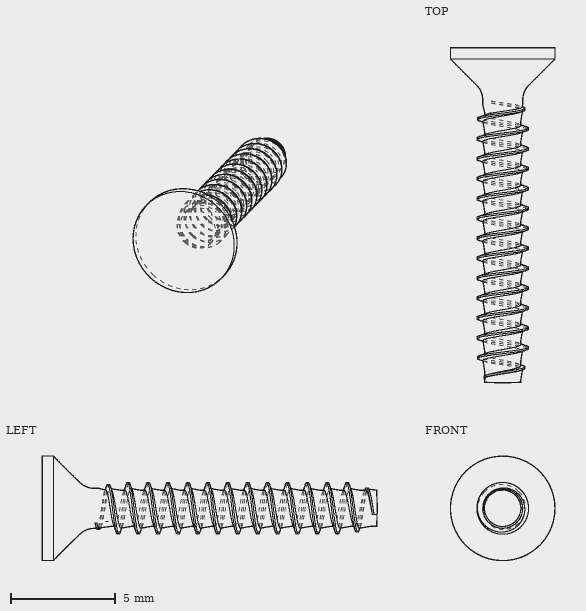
import math

import cadquery as cq


LENGTH = 16.0
HEAD_RADIUS = 2.5
RIM_THICKNESS = 0.54
SHANK_RADIUS = 0.96
NECK_FILLET = 1.0
SHANK_END = 2.71
CORE_START = 3.09
CORE_RADIUS = 0.865
TIP_CONE_HEIGHT = 0.03

PITCH = 0.95
CREST_RADIUS = 1.235
CREST_WIDTH = 0.08
FLANK_SLOPE = 0.32
RAMP_RADIUS = 0.95
RAMP_FOOT = 0.75
EMBED_RADIUS = CORE_RADIUS - 0.02
CREST_DEPTH_AT_TOP = 3.16
FIRST_JOINT = CREST_DEPTH_AT_TOP + 0.625 * PITCH
SAMPLES_PER_TURN = 24

LEAD_IN_START = 2.57
LEAD_IN_END = LEAD_IN_START + PITCH
LEAD_IN_RADIUS = 0.98
RUN_OUT_START = 14.72
RUN_OUT_END = 15.80
RUN_OUT_RADIUS = CORE_RADIUS + 0.015


def make_body():
    """Head, neck fillet, shank and core as one turned solid."""
    half_angle = math.radians(45)
    neck_radius = SHANK_RADIUS + NECK_FILLET * (1 - math.cos(half_angle))
    neck_start = RIM_THICKNESS + HEAD_RADIUS - neck_radius
    neck_end = neck_start + NECK_FILLET * math.sin(half_angle)
    mid_radius = SHANK_RADIUS + NECK_FILLET * (1 - math.cos(half_angle / 2))
    mid_depth = neck_end - NECK_FILLET * math.sin(half_angle / 2)
    profile = (
        cq.Workplane("XY")
        .lineTo(HEAD_RADIUS, 0)
        .lineTo(HEAD_RADIUS, -RIM_THICKNESS)
        .lineTo(neck_radius, -neck_start)
        .threePointArc((mid_radius, -mid_depth), (SHANK_RADIUS, -neck_end))
        .lineTo(SHANK_RADIUS, -SHANK_END)
        .lineTo(CORE_RADIUS, -CORE_START)
        .lineTo(CORE_RADIUS, -(LENGTH - TIP_CONE_HEIGHT))
        .lineTo(0, -LENGTH)
        .close()
    )
    return profile.revolve(360, (0, 0, 0), (0, 1, 0))


def crest_radius_at(depth):
    """Radius of the thread crest at the given depth."""
    lead_in = (depth - LEAD_IN_START) / (LEAD_IN_END - LEAD_IN_START)
    run_out = (RUN_OUT_END - depth) / (RUN_OUT_END - RUN_OUT_START)
    rising = LEAD_IN_RADIUS + lead_in * (CREST_RADIUS - LEAD_IN_RADIUS)
    sinking = RUN_OUT_RADIUS + run_out * (CREST_RADIUS - RUN_OUT_RADIUS)
    return min(rising, CREST_RADIUS, sinking)


def thread_section(depth):
    """Corner points of the thread section whose crest lies at the given depth."""
    crest = crest_radius_at(depth)
    ramp_top = min(RAMP_RADIUS, (crest + CORE_RADIUS) / 2)
    half_crest = CREST_WIDTH / 2
    corners = [
        (EMBED_RADIUS, -half_crest - FLANK_SLOPE * (crest - EMBED_RADIUS)),
        (crest, -half_crest),
        (crest, half_crest),
        (ramp_top, half_crest + FLANK_SLOPE * (crest - ramp_top)),
        (EMBED_RADIUS, RAMP_FOOT),
    ]
    angle = 2 * math.pi * (depth - CREST_DEPTH_AT_TOP) / PITCH
    return [
        cq.Vector(-radius * math.sin(angle), -depth - offset, radius * math.cos(angle))
        for radius, offset in corners
    ]


def thread_stretch(start, end):
    """Helical side faces of the thread between two depths."""
    steps = math.ceil((end - start) / PITCH * SAMPLES_PER_TURN)
    sections = [thread_section(start + (end - start) * step / steps) for step in range(steps + 1)]
    edges = [cq.Edge.makeSpline(list(path)) for path in zip(*sections)]
    next_edges = edges[1:] + edges[:1]
    return [cq.Face.makeRuledSurface(a, b) for a, b in zip(edges, next_edges)]


def end_cap(depth):
    """Flat face closing one end of the thread."""
    return cq.Face.makeFromWires(cq.Wire.makePolygon(thread_section(depth), close=True))


def make_thread():
    """Right-hand thread growing out of the shank and fading out at the tip."""
    turns = math.ceil((RUN_OUT_START - FIRST_JOINT) / PITCH)
    joints = [FIRST_JOINT + PITCH * turn for turn in range(turns)]
    breaks = [LEAD_IN_START, LEAD_IN_END, *joints, RUN_OUT_START, RUN_OUT_END]
    faces = [end_cap(LEAD_IN_START), end_cap(RUN_OUT_END)]
    for start, end in zip(breaks, breaks[1:]):
        faces += thread_stretch(start, end)
    thread = cq.Workplane(cq.Solid.makeSolid(cq.Shell.makeShell(faces)).fix())
    length_limit = cq.Workplane("XZ").circle(HEAD_RADIUS).extrude(LENGTH - TIP_CONE_HEIGHT)
    return thread.intersect(length_limit)


result = make_body().union(make_thread()).solids()